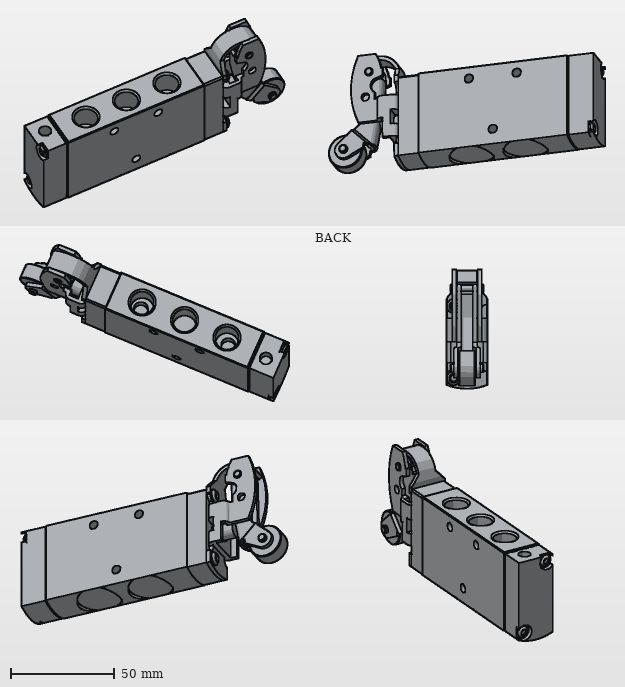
import cadquery as cq
import math


TOTAL_LENGTH = 136.1

BLOCK_WIDTH = 20.0
BLOCK_START = 13.3
BLOCK_END = 88.6
BLOCK_TOP = 43.7
BLOCK_EDGE_CHAMFER = 0.4
CAP_WIDTH = 19.3
CAP_TOP = 43.3
CAP_EDGE_CHAMFER = 0.8
CAP_FACE = 99.0
SEAM_WIDTH = 0.7
SEAM_DEPTH = 0.8
CROWN_HEIGHT = 1.9

PORT_DIAMETER = 11.4
PORT_DEPTH = 12.2
PORT_RIM_CHAMFER = 1.0
PORT_CENTER_Y = 50.9
PORT_PITCH = 22.3
CHANNEL_DIAMETER = 7.0
CHANNEL_DEPTH = 5.5
CHANNEL_SHIFT = 0.7

SPOTFACE_DIAMETER = 21.8
SPOTFACE_PITCH = 27.4

MOUNT_HOLE_DIAMETER = 4.4
MOUNT_HOLE_PITCH = 24.2
MOUNT_HOLE_UPPER_Z = 37.5
MOUNT_HOLE_LOWER_Z = 9.7

PILOT_DIAMETER = 6.0
PILOT_X = -2.0
PILOT_Y = 7.2
PILOT_DEPTH = 6.8

SCREW_X = 6.4
SCREW_UPPER_Z = 40.0
SCREW_LOWER_Z = 5.2
END_SCREWS = [(SCREW_X, SCREW_UPPER_Z), (-SCREW_X, SCREW_LOWER_Z)]
FRONT_SCREWS = [(SCREW_X, SCREW_UPPER_Z), (SCREW_X, SCREW_LOWER_Z)]
SCREW_SHANK_DIAMETER = 4.4
SCREW_SOCKET_DIAMETER = 3.1
SCREW_SOCKET_DEPTH = 1.1
END_HEAD_DIAMETER = 6.0
END_HEAD_HEIGHT = 2.2
END_HEAD_CHAMFER = 1.2
END_RECESS_DIAMETER = 8.0
END_RECESS_DEPTH = 2.6
FRONT_HEAD_DIAMETER = 6.8
FRONT_HEAD_HEIGHT = 2.0
FRONT_HEAD_CHAMFER = 1.2

PLUNGER_DIAMETER = 8.0
PLUNGER_Z = 22.7
PLUNGER_TIP = 110.0
PLUNGER_CLEARANCE_DIAMETER = 9.0

SHEET = 2.0
BASE_FACE = CAP_FACE + SHEET
BASE_WAIST = 13.2
RELIEF_DIAMETER = 6.7
RELIEF_LOWER_Z = 11.8
RELIEF_UPPER_Z = 37.4
WING_HALF_WIDTH = BLOCK_WIDTH / 2
WING_BOTTOM = 12.5
WING_TOP = 34.2
WING_BEND_RADIUS = 3.4
WING_SHOULDER_Y = 106.8
PAD_FACE = 103.5
SLOT_END = 102.7
SLOT_HEIGHT = 7.5
PLATE_INNER = 5.2
PLATE_OUTER = PLATE_INNER + SHEET
PLATE_BOTTOM = 22.7
PLATE_TOP = 57.7
PLATE_NECK_Y = 110.9
PLATE_CORNER_Y = 120.0
PLATE_BELLY_Y = 123.7
PLATE_REAR_TOP_Y = 111.2
PLATE_REAR_MIDDLE = (109.5, 54.2)
PLATE_REAR_END = (108.5, 50.0)
PLATE_LUG_Y = 107.8
PLATE_LUG_BOTTOM = 46.0
NOTCH_Y = 111.7
NOTCH_TOP = 44.6
NOTCH_BOTTOM = 37.8
NOTCH_DEEPEST = (113.8, 41.4)
NECK_DEPTH = 2.9
NECK_BEND_MIDDLE = (7.5, 110.2)
NECK_BEND_END = (8.0, 110.0)
NECK_SHOULDER_MIDDLE = (9.4, 109.0)
PLATE_HOLE_DIAMETER = 4.0
PLATE_HOLE = (116.4, 35.7)

ARCH_RADIUS = 10.9
ARCH_TOP = 57.3
ARCH_FLAT = 2.0
ARCH_END_ANGLE = 62
ARCH_REAR_ANGLE = 74
ARCH_REAR_SLOPE = 1.8
ARCH_FOOT_RADIUS = 12.2
ARCH_WIDTH = 9.5
FLARE_BOTTOM = 44.1
FLARE_NECK_Z = 47.6
FLARE_NECK_HALF_WIDTH = 6.5
FLARE_TOP = 49.5

PIVOT = (114.5, 48.6)
ROLLER_DIAMETER = 17.0
ROLLER_WIDTH = 7.9
ROLLER_EDGE_CHAMFER = 0.4
ROLLER_AXIS = (TOTAL_LENGTH - ROLLER_DIAMETER / 2, 10.0)
ARM_HALF_WIDTH = 4.9
FORK_HALF_WIDTH = 6.4
ARM_REAR = [(113.1, 12.1), (109.1, 34.4), (108.7, 45.7)]
ARM_KNEE = (120.3, 22.6)
ARM_HEEL = (118.0, 9.8)
ARM_HEEL_TOP = (117.6, 12.1)
ARM_END_RADIUS = 4.5
ARM_HEAD_RADIUS = 5.2
ARM_BEND_RADIUS = 3.4
JOG_START = 9.7
JOG_END = 10.9
PIN_DIAMETER = 3.0
PIN_HEAD_DIAMETER = 4.0
PIN_LENGTH = 16.0
PIN_HEAD_CHAMFER = 0.4


def rod_x(diameter, length, center):
    """Cylinder along X, centred on the middle plane, with its axis at (Y, Z) = center."""
    plane = cq.Workplane("YZ", origin=(-length / 2, *center))
    return plane.circle(diameter / 2).extrude(length)


def rod_y(diameter, start, end, x, z):
    """Cylinder along Y between start and end."""
    plane = cq.Workplane("XZ", origin=(x, start, z))
    return plane.circle(diameter / 2).extrude(start - end)


def crowned_prism(width, top, start, end):
    """Length of the housing section, flat on three sides and crowned underneath."""
    half = width / 2
    return (
        cq.Workplane("XZ", origin=(0, start, 0))
        .moveTo(-half, top)
        .lineTo(-half, CROWN_HEIGHT)
        .threePointArc((0, 0), (half, CROWN_HEIGHT))
        .lineTo(half, top)
        .close()
        .extrude(start - end)
    )


def make_block():
    block = crowned_prism(BLOCK_WIDTH, BLOCK_TOP, BLOCK_START, BLOCK_END)
    block = block.faces(">Z").edges().chamfer(BLOCK_EDGE_CHAMFER)
    for offset in (-PORT_PITCH, 0, PORT_PITCH):
        port = cq.Workplane("XY", origin=(0, PORT_CENTER_Y + offset, BLOCK_TOP))
        block = block.cut(port.circle(PORT_DIAMETER / 2).extrude(-PORT_DEPTH))
        rim_radius = PORT_DIAMETER / 2 + PORT_RIM_CHAMFER
        block = block.cut(port.circle(rim_radius).extrude(-PORT_RIM_CHAMFER, taper=45))
    for side in (-1, 1):
        channel_y = PORT_CENTER_Y + side * (PORT_PITCH + CHANNEL_SHIFT)
        channel = cq.Workplane("XY", origin=(0, channel_y, BLOCK_TOP - PORT_DEPTH))
        block = block.cut(channel.circle(CHANNEL_DIAMETER / 2).extrude(-CHANNEL_DEPTH))
        spotface = cq.Workplane("XY").center(0, PORT_CENTER_Y + side * SPOTFACE_PITCH / 2)
        block = block.cut(spotface.circle(SPOTFACE_DIAMETER / 2).extrude(CROWN_HEIGHT))
    mount_holes = [
        (PORT_CENTER_Y - MOUNT_HOLE_PITCH / 2, MOUNT_HOLE_UPPER_Z),
        (PORT_CENTER_Y + MOUNT_HOLE_PITCH / 2, MOUNT_HOLE_UPPER_Z),
        (PORT_CENTER_Y, MOUNT_HOLE_LOWER_Z),
    ]
    for center in mount_holes:
        block = block.cut(rod_x(MOUNT_HOLE_DIAMETER, BLOCK_WIDTH, center))
    return block


def screw_head(diameter, height, chamfer, x, z, seat, direction):
    """Screw head with a round socket, standing on a seat and facing along direction."""
    top = seat + direction * height
    head = rod_y(diameter, seat, top, x, z)
    head = head.faces(">Y" if direction > 0 else "<Y").chamfer(chamfer)
    socket = rod_y(SCREW_SOCKET_DIAMETER, top - direction * SCREW_SOCKET_DEPTH, top, x, z)
    return head.cut(socket)


def make_end_cap():
    cap = crowned_prism(CAP_WIDTH, CAP_TOP, 0, BLOCK_START - SEAM_WIDTH)
    seam_width = CAP_WIDTH - 2 * SEAM_DEPTH
    seam_height = CAP_TOP - CROWN_HEIGHT - 2 * SEAM_DEPTH
    seam_y = BLOCK_START - SEAM_WIDTH / 2
    seam_z = (CAP_TOP + CROWN_HEIGHT) / 2
    seam = cq.Workplane("XY").box(seam_width, SEAM_WIDTH, seam_height)
    cap = cap.union(seam.translate((0, seam_y, seam_z)))
    pilot = cq.Workplane("XY", origin=(PILOT_X, PILOT_Y, CAP_TOP))
    cap = cap.cut(pilot.circle(PILOT_DIAMETER / 2).extrude(-PILOT_DEPTH))
    for x, z in END_SCREWS:
        cap = cap.cut(rod_y(END_RECESS_DIAMETER, 0, END_RECESS_DEPTH, x, z))
        head = screw_head(END_HEAD_DIAMETER, END_HEAD_HEIGHT, END_HEAD_CHAMFER, x, z, END_RECESS_DEPTH, -1)
        cap = cap.union(head)
    return cap


def make_front_cap():
    cap = crowned_prism(CAP_WIDTH, CAP_TOP, BLOCK_END, CAP_FACE)
    cap = cap.faces(">Z").edges("|Y").chamfer(CAP_EDGE_CHAMFER)
    for x, z in FRONT_SCREWS:
        cap = cap.union(rod_y(SCREW_SHANK_DIAMETER, CAP_FACE, BASE_FACE, x, z))
        head = screw_head(FRONT_HEAD_DIAMETER, FRONT_HEAD_HEIGHT, FRONT_HEAD_CHAMFER, x, z, BASE_FACE, 1)
        cap = cap.union(head)
    return cap.union(rod_y(PLUNGER_DIAMETER, CAP_FACE, PLUNGER_TIP, 0, PLUNGER_Z))


def make_housing():
    return make_block().union(make_end_cap()).union(make_front_cap())


def both_sides(shape):
    """The shape together with its mirror image across the middle plane."""
    return shape.union(shape.mirror("YZ"))


def arc_point(center, radius, degrees):
    """Point on a circle in the YZ plane, at an angle measured from +Z toward +Y."""
    angle = math.radians(degrees)
    return (center[0] + radius * math.sin(angle), center[1] + radius * math.cos(angle))


def make_base_strip():
    """Upright base strip that leans forward and arches over the arm, at full width."""
    rear_angle = -ARCH_REAR_ANGLE
    foot_mid_angle = (rear_angle - 90) / 2
    inner_radius = ARCH_RADIUS - SHEET
    foot_inner_radius = ARCH_FOOT_RADIUS - SHEET
    foot_end_offset = arc_point((0, 0), ARCH_FOOT_RADIUS - ARCH_RADIUS, rear_angle)
    slope_offset = arc_point((0, 0), ARCH_REAR_SLOPE, rear_angle + 90)
    foot = (CAP_FACE + ARCH_FOOT_RADIUS, ARCH_TOP - ARCH_RADIUS - slope_offset[1] - foot_end_offset[1])
    rear_bend = (foot[0] + slope_offset[0] + foot_end_offset[0], ARCH_TOP - ARCH_RADIUS)
    front_bend = (rear_bend[0] + ARCH_FLAT, rear_bend[1])
    return (
        cq.Workplane("YZ", origin=(-CAP_WIDTH / 2, 0, 0))
        .moveTo(CAP_FACE, 0)
        .lineTo(CAP_FACE, foot[1])
        .threePointArc(
            arc_point(foot, ARCH_FOOT_RADIUS, foot_mid_angle),
            arc_point(foot, ARCH_FOOT_RADIUS, rear_angle),
        )
        .lineTo(*arc_point(rear_bend, ARCH_RADIUS, rear_angle))
        .threePointArc(
            arc_point(rear_bend, ARCH_RADIUS, rear_angle / 2),
            arc_point(rear_bend, ARCH_RADIUS, 0),
        )
        .lineTo(*arc_point(front_bend, ARCH_RADIUS, 0))
        .threePointArc(
            arc_point(front_bend, ARCH_RADIUS, ARCH_END_ANGLE / 2),
            arc_point(front_bend, ARCH_RADIUS, ARCH_END_ANGLE),
        )
        .lineTo(*arc_point(front_bend, inner_radius, ARCH_END_ANGLE))
        .threePointArc(
            arc_point(front_bend, inner_radius, ARCH_END_ANGLE / 2),
            arc_point(front_bend, inner_radius, 0),
        )
        .lineTo(*arc_point(rear_bend, inner_radius, 0))
        .threePointArc(
            arc_point(rear_bend, inner_radius, rear_angle / 2),
            arc_point(rear_bend, inner_radius, rear_angle),
        )
        .lineTo(*arc_point(foot, foot_inner_radius, rear_angle))
        .threePointArc(
            arc_point(foot, foot_inner_radius, foot_mid_angle),
            arc_point(foot, foot_inner_radius, -90),
        )
        .lineTo(BASE_FACE, 0)
        .close()
        .extrude(CAP_WIDTH)
    )


def make_base_and_arch():
    """Base plate on the cap face with its flared strip, waist, reliefs and holes."""
    base_half = CAP_WIDTH / 2
    waist_half = BASE_WAIST / 2
    arch_half = ARCH_WIDTH / 2
    right_edge = [
        (base_half, RELIEF_LOWER_Z),
        (waist_half, RELIEF_LOWER_Z),
        (waist_half, RELIEF_UPPER_Z),
        (base_half, RELIEF_UPPER_Z),
        (base_half, FLARE_BOTTOM),
        (FLARE_NECK_HALF_WIDTH, FLARE_NECK_Z),
        (arch_half, FLARE_TOP),
        (arch_half, PLATE_TOP),
    ]
    left_edge = [(-x, z) for x, z in reversed(right_edge)]
    silhouette = (
        cq.Workplane("XZ", origin=(0, CAP_FACE, 0))
        .moveTo(-base_half, CROWN_HEIGHT)
        .threePointArc((0, 0), (base_half, CROWN_HEIGHT))
        .polyline(right_edge + left_edge, includeCurrent=True)
        .close()
        .extrude(CAP_FACE - TOTAL_LENGTH)
    )
    base = make_base_strip().intersect(silhouette)
    for x in (-base_half, base_half):
        for z in (RELIEF_LOWER_Z, RELIEF_UPPER_Z):
            base = base.cut(rod_y(RELIEF_DIAMETER, CAP_FACE, BASE_FACE, x, z))
    for x, z in FRONT_SCREWS:
        base = base.cut(rod_y(SCREW_SHANK_DIAMETER, CAP_FACE, BASE_FACE, x, z))
    return base.cut(rod_y(PLUNGER_CLEARANCE_DIAMETER, CAP_FACE, BASE_FACE, 0, PLUNGER_Z))


def make_wing():
    """Wing folded forward from the base plate."""
    bend_x = WING_HALF_WIDTH - WING_BEND_RADIUS
    bend_y = CAP_FACE + WING_BEND_RADIUS
    inner_radius = WING_BEND_RADIUS - SHEET
    diagonal = math.sqrt(0.5)
    return (
        cq.Workplane("XY", origin=(0, 0, WING_BOTTOM))
        .moveTo(bend_x, CAP_FACE)
        .threePointArc(
            (bend_x + diagonal * WING_BEND_RADIUS, bend_y - diagonal * WING_BEND_RADIUS),
            (WING_HALF_WIDTH, bend_y),
        )
        .lineTo(WING_HALF_WIDTH, WING_SHOULDER_Y)
        .lineTo(WING_HALF_WIDTH - SHEET, WING_SHOULDER_Y)
        .lineTo(WING_HALF_WIDTH - SHEET, bend_y)
        .threePointArc(
            (bend_x + diagonal * inner_radius, bend_y - diagonal * inner_radius),
            (bend_x, BASE_FACE),
        )
        .close()
        .extrude(WING_TOP - WING_BOTTOM)
    )


def make_web_pad():
    """Thickening of the base plate between the wings, around the plunger."""
    width = 2 * (WING_HALF_WIDTH - SHEET)
    plane = cq.Workplane("XY", origin=(0, (BASE_FACE + PAD_FACE) / 2, WING_BOTTOM))
    pad = plane.rect(width, PAD_FACE - BASE_FACE).extrude(WING_TOP - WING_BOTTOM)
    return pad.cut(rod_y(PLUNGER_CLEARANCE_DIAMETER, BASE_FACE, PAD_FACE, 0, PLUNGER_Z))


def make_neck():
    """Step that joins a wing to the side plate lying further in."""
    neck_rear_y = PLATE_NECK_Y - NECK_DEPTH
    return (
        cq.Workplane("XY", origin=(0, 0, PLATE_BOTTOM))
        .moveTo(PLATE_INNER, PLATE_NECK_Y)
        .lineTo(PLATE_OUTER, PLATE_NECK_Y)
        .threePointArc(NECK_BEND_MIDDLE, NECK_BEND_END)
        .threePointArc(NECK_SHOULDER_MIDDLE, (WING_HALF_WIDTH, WING_SHOULDER_Y))
        .lineTo(WING_HALF_WIDTH - SHEET, WING_SHOULDER_Y)
        .lineTo(WING_HALF_WIDTH - SHEET, neck_rear_y)
        .lineTo(PLATE_INNER, neck_rear_y)
        .close()
        .extrude(WING_TOP - PLATE_BOTTOM)
    )


def make_side_plate():
    plate = (
        cq.Workplane("YZ", origin=(PLATE_INNER, 0, 0))
        .moveTo(PLATE_NECK_Y, PLATE_BOTTOM)
        .lineTo(PLATE_CORNER_Y, PLATE_BOTTOM)
        .threePointArc((PLATE_BELLY_Y, (PLATE_BOTTOM + PLATE_TOP) / 2), (PLATE_CORNER_Y, PLATE_TOP))
        .lineTo(PLATE_REAR_TOP_Y, PLATE_TOP)
        .threePointArc(PLATE_REAR_MIDDLE, PLATE_REAR_END)
        .lineTo(PLATE_LUG_Y, PLATE_REAR_END[1])
        .lineTo(PLATE_LUG_Y, PLATE_LUG_BOTTOM)
        .lineTo(NOTCH_Y, NOTCH_TOP)
        .threePointArc(NOTCH_DEEPEST, (NOTCH_Y, NOTCH_BOTTOM))
        .lineTo(NOTCH_Y, WING_TOP)
        .lineTo(PLATE_NECK_Y, WING_TOP)
        .close()
        .extrude(SHEET)
    )
    plate = plate.cut(rod_x(PLATE_HOLE_DIAMETER, BLOCK_WIDTH, PLATE_HOLE))
    return plate.cut(rod_x(PIN_DIAMETER, BLOCK_WIDTH, PIVOT))


def make_bracket():
    side = make_wing().union(make_neck()).union(make_side_plate())
    bracket = make_base_and_arch().union(make_web_pad()).union(both_sides(side))
    slot = cq.Workplane("XY").box(BLOCK_WIDTH, SLOT_END - CAP_FACE, SLOT_HEIGHT)
    return bracket.cut(slot.translate((0, (CAP_FACE + SLOT_END) / 2, PLUNGER_Z)))


def tangent_point(center, radius, point, side):
    """Point where a line from an outside point touches a circle, on the chosen side."""
    distance = math.dist(center, point)
    angle = math.atan2(point[1] - center[1], point[0] - center[0])
    angle += side * math.acos(radius / distance)
    return (center[0] + radius * math.cos(angle), center[1] + radius * math.sin(angle))


def rounded_channel_block(rear_line, half_width, corner_radius):
    """Block reaching forward from the rear line, with rounded upright corners along it."""
    bottom = rear_line[0][1]
    top = rear_line[-1][1]
    block = (
        cq.Workplane("YZ", origin=(-half_width, 0, 0))
        .polyline(rear_line + [(TOTAL_LENGTH, top), (TOTAL_LENGTH, bottom)])
        .close()
        .extrude(2 * half_width)
    )
    corners = None
    for lower, upper in zip(rear_line, rear_line[1:]):
        y = (lower[0] + upper[0]) / 2
        z = (lower[1] + upper[1]) / 2
        for x in (-half_width, half_width):
            nearest = cq.selectors.NearestToPointSelector((x, y, z))
            corners = nearest if corners is None else corners + nearest
    return block.edges(corners).fillet(corner_radius)


def make_arm():
    """U-shaped arm: two cheeks that step apart beside the roller, joined by a rear web."""
    fork_upper = tangent_point(ROLLER_AXIS, ARM_END_RADIUS, ARM_KNEE, -1)
    fork_lower = tangent_point(ROLLER_AXIS, ARM_END_RADIUS, ARM_HEEL, 1)
    fork_tip = (ROLLER_AXIS[0] + ARM_END_RADIUS, ROLLER_AXIS[1])
    head_front = (PIVOT[0] + ARM_HEAD_RADIUS, PIVOT[1])
    head_rear = (PIVOT[0] - ARM_HEAD_RADIUS, PIVOT[1])
    outline = (
        cq.Workplane("YZ")
        .polyline(ARM_REAR + [head_rear])
        .threePointArc((PIVOT[0], PIVOT[1] + ARM_HEAD_RADIUS), head_front)
        .lineTo(*ARM_KNEE)
        .lineTo(*fork_upper)
        .threePointArc(fork_tip, fork_lower)
        .lineTo(*ARM_HEEL)
        .lineTo(*ARM_HEEL_TOP)
        .close()
        .extrude(FORK_HALF_WIDTH, both=True)
    )
    arm_inner = ARM_HALF_WIDTH - SHEET
    web_top_y, web_top_z = ARM_REAR[-1]
    outer_line = ARM_REAR + [(web_top_y, PLATE_TOP)]
    inner_line = [(y + SHEET, z) for y, z in outer_line]
    outer = rounded_channel_block(outer_line, ARM_HALF_WIDTH, ARM_BEND_RADIUS)
    inner = rounded_channel_block(inner_line, arm_inner, ARM_BEND_RADIUS - SHEET)
    head_gap = cq.Workplane("XY", origin=(0, PIVOT[0], web_top_z))
    head_gap = head_gap.rect(2 * arm_inner, 2 * (PIVOT[0] - web_top_y)).extrude(PLATE_TOP - web_top_z)
    channel = outer.cut(inner).cut(head_gap)

    fork_inner = FORK_HALF_WIDTH - SHEET
    fork_start = -ROLLER_DIAMETER / 2
    jog_plane = cq.Plane(origin=(0, *ROLLER_AXIS), xDir=(0, -1, 1), normal=(0, 1, 1))
    fork_section = [
        (fork_start, fork_inner),
        (JOG_START, fork_inner),
        (JOG_END, arm_inner),
        (JOG_END, ARM_HALF_WIDTH),
        (JOG_START, FORK_HALF_WIDTH),
        (fork_start, FORK_HALF_WIDTH),
    ]
    fork_zone = (
        cq.Workplane(jog_plane)
        .moveTo((fork_start + JOG_END) / 2, 0)
        .rect(JOG_END - fork_start, 2 * FORK_HALF_WIDTH)
        .extrude(ROLLER_DIAMETER, both=True)
    )
    fork = cq.Workplane(jog_plane).polyline(fork_section).close().extrude(ROLLER_DIAMETER, both=True)
    arm = channel.cut(fork_zone).union(both_sides(fork)).intersect(outline)
    for axis in (PIVOT, ROLLER_AXIS):
        arm = arm.cut(rod_x(PIN_DIAMETER, PIN_LENGTH, axis))
    return arm


def make_roller():
    roller = rod_x(ROLLER_DIAMETER, ROLLER_WIDTH, ROLLER_AXIS).edges().chamfer(ROLLER_EDGE_CHAMFER)
    return roller.cut(rod_x(PIN_DIAMETER, ROLLER_WIDTH, ROLLER_AXIS))


def make_pin(axis, seat):
    """Riveted pin whose two heads rest on faces at the seat distance from the middle plane."""
    heads = rod_x(PIN_HEAD_DIAMETER, PIN_LENGTH, axis).faces("<X or >X").chamfer(PIN_HEAD_CHAMFER)
    heads = heads.cut(rod_x(PIN_HEAD_DIAMETER, 2 * seat, axis))
    return heads.union(rod_x(PIN_DIAMETER, 2 * seat, axis))


housing = make_housing()
bracket = make_bracket()
arm = make_arm()
roller = make_roller()
pins = [make_pin(PIVOT, PLATE_OUTER), make_pin(ROLLER_AXIS, FORK_HALF_WIDTH)]

result = cq.Compound.makeCompound([
    housing.solids().val(),
    bracket.solids().val(),
    arm.solids().val(),
    roller.solids().val(),
    *[pin.solids().val() for pin in pins],
])